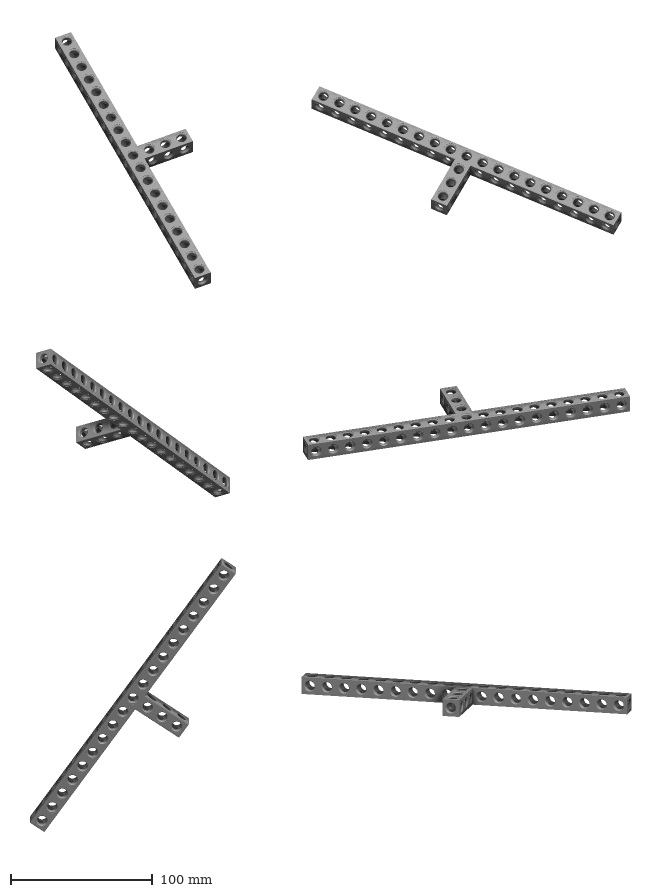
import cadquery as cq
beam_length = 237.5
beam_cells = 19
arm_cells = 3
cell = beam_length / beam_cells
half_cell = cell / 2
half_length = beam_length / 2

wall_inset = 0.12
edge_chamfer_height = 0.12
edge_chamfer_width = 0.6

bore_diameter = 7.0
sink_diameter = 7.8
sink_depth = (sink_diameter - bore_diameter) / 2
recess_diameter = 9.3
recess_depth = 0.2

beam_places = [(i + 0.5) * cell - half_length for i in range(beam_cells)]
arm_places = [(i + 1) * cell for i in range(arm_cells)]
middle_cell = beam_cells // 2


def make_body():
    """T-shaped bar with flat chamfers around its top and bottom faces."""
    wall = half_cell - wall_inset
    beam_end = half_length - wall_inset
    arm_end = half_cell + arm_cells * cell - wall_inset
    outline = [
        (-beam_end, -wall),
        (beam_end, -wall),
        (beam_end, wall),
        (wall, wall),
        (wall, arm_end),
        (-wall, arm_end),
        (-wall, wall),
        (-beam_end, wall),
    ]
    body = cq.Workplane("XY").workplane(offset=-half_cell).polyline(outline).close().extrude(cell)
    return body.faces("<Z or >Z").chamfer(edge_chamfer_height, edge_chamfer_width)


def hole_ends(start, direction, length):
    """Both mouths of a hole, each with the direction that leads into it."""
    first = cq.Vector(*start)
    inward = cq.Vector(*direction)
    return [(first, inward), (first + inward * length, inward * -1)]


def make_rims(start, direction, length):
    """Discs around both mouths of a side hole, long enough to join the wall behind."""
    return [
        cq.Solid.makeCylinder(sink_diameter / 2, half_cell, mouth, inward)
        for mouth, inward in hole_ends(start, direction, length)
    ]


def make_hole(start, direction, length, mouth_recess=0):
    """Through bore, countersunk at both ends below an optional round recess."""
    cutters = [
        cq.Solid.makeCylinder(bore_diameter / 2, length, cq.Vector(*start), cq.Vector(*direction))
    ]
    for mouth, inward in hole_ends(start, direction, length):
        if mouth_recess:
            cutters.append(cq.Solid.makeCylinder(recess_diameter / 2, mouth_recess, mouth, inward))
        sink_start = mouth + inward * mouth_recess
        cutters.append(
            cq.Solid.makeCone(sink_diameter / 2, bore_diameter / 2, sink_depth, sink_start, inward)
        )
    return cutters


side_holes = [((-half_length, 0, 0), (1, 0, 0), beam_length)]
for index, x in enumerate(beam_places):
    depth_cells = 1 + arm_cells if index == middle_cell else 1
    side_holes.append(((x, -half_cell, 0), (0, 1, 0), depth_cells * cell))
for y in arm_places:
    side_holes.append(((-half_cell, y, 0), (1, 0, 0), cell))

cell_centres = [(x, 0) for x in beam_places] + [(0, y) for y in arm_places]

part = make_body()
for side_hole in side_holes:
    for rim in make_rims(*side_hole):
        part = part.union(cq.Workplane(rim))

cutters = []
for x, y in cell_centres:
    cutters += make_hole((x, y, -half_cell), (0, 0, 1), cell, recess_depth)
for side_hole in side_holes:
    cutters += make_hole(*side_hole)

result = cq.Workplane(part.val().cut(*cutters))